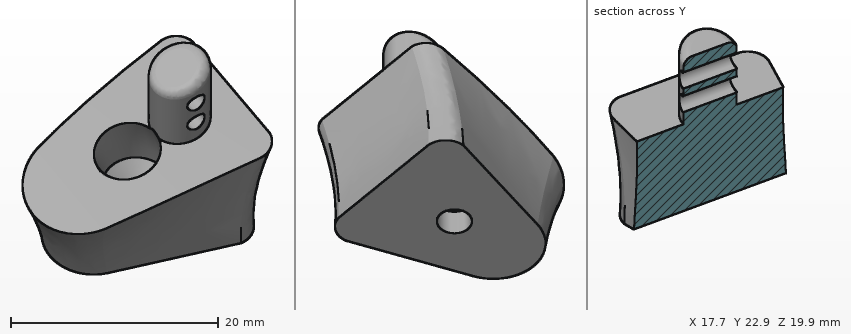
import cadquery as cq
import math

FOOT = dict(back=9.35, front=-9.5, back_z=0, front_z=0, flat=6.75,
            shoulder=(8.85, 6.74), nose=(4.8, -6.03), bulge=0)
WAIST = dict(back=9.76, front=-10.35, back_z=5.95, front_z=4.25, flat=6.75,
             shoulder=(8.65, 7.3), nose=(5.02, -6.65), bulge=0.07)
CROWN = dict(back=11.78, front=-11.7, back_z=12.33, front_z=8.45, flat=6.75,
             shoulder=(8.66, 9.28), nose=(6.05, -7.1), bulge=0.15)

TOP_BACK = (11.45, 11.65)
TOP_MIDDLE = (0.14, 10.25)
TOP_FRONT = (-11.45, 7.77)

PIN_DIAMETER = 6.0
PIN_Y = 5.52
PIN_ROOT_Z = 8.7
PIN_TOP_Z = 19.23
PIN_TOP_TILT = 21.5
PIN_FILLET = 1.0
CROSS_HOLE_DIAMETER = 2.0
CROSS_HOLE_HEIGHTS = (13.55, 16.53)

SCREW_DIAMETER = 3.4
SCREW_Y = 0.45
CHANNEL_DIAMETER = 6.46
CHANNEL_START_Z = 4.35
CHANNEL_BEND_RADIUS = 17.2
CHANNEL_BEND_ANGLE = 50

OVERSIZE = 45.85


def section_wire(back, front, back_z, front_z, flat, shoulder, nose, bulge):
    """Closed, mirror-symmetric outline lying in a plane tilted about X."""
    slope = (back_z - front_z) / (back - front)

    def point(x, y):
        return cq.Vector(x, y, front_z + slope * (y - front))

    def arc(start, middle, end):
        return cq.Edge.makeThreePointArc(point(*start), point(*middle), point(*end))

    def mirrored(position):
        return (-position[0], position[1])

    def side(start, end, direction):
        if bulge == 0:
            return cq.Edge.makeLine(point(*start), point(*end))
        middle = ((start[0] + end[0]) / 2 + direction * bulge, (start[1] + end[1]) / 2)
        return arc(start, middle, end)

    back_end = (flat, back)
    diagonal = math.sqrt(0.5)
    corner = (flat + (shoulder[0] - flat) * diagonal,
              shoulder[1] + (back - shoulder[1]) * diagonal)
    edges = [
        cq.Edge.makeLine(point(*mirrored(back_end)), point(*back_end)),
        arc(back_end, corner, shoulder),
        side(shoulder, nose, 1),
        arc(nose, (0, front), mirrored(nose)),
        side(mirrored(nose), mirrored(shoulder), -1),
        arc(mirrored(shoulder), mirrored(corner), mirrored(back_end)),
    ]
    return cq.Wire.assembleEdges(edges)


def make_body():
    """Flared block under the curved, forward-sloping top."""
    wires = [section_wire(**section) for section in (FOOT, WAIST, CROWN)]
    block = cq.Workplane(obj=cq.Solid.makeLoft(wires))
    end_slope = (TOP_BACK[1] - TOP_FRONT[1]) / (TOP_BACK[0] - TOP_FRONT[0])
    run_out = 1.15
    above_top = (
        cq.Workplane("YZ")
        .moveTo(TOP_BACK[0] + run_out, TOP_BACK[1] + end_slope * run_out)
        .lineTo(*TOP_BACK)
        .threePointArc(TOP_MIDDLE, TOP_FRONT)
        .lineTo(TOP_FRONT[0] - run_out, TOP_FRONT[1] - end_slope * run_out)
        .lineTo(TOP_FRONT[0] - run_out, OVERSIZE)
        .lineTo(TOP_BACK[0] + run_out, OVERSIZE)
        .close()
        .extrude(OVERSIZE / 2, both=True)
    )
    return block.cut(above_top)


def make_pin():
    """Upright pin with a slanted, rounded end and two cross holes."""
    pin = (
        cq.Workplane("XY", origin=(0, PIN_Y, PIN_ROOT_Z))
        .circle(PIN_DIAMETER / 2)
        .extrude(OVERSIZE)
    )
    above_end = (
        cq.Workplane("XY")
        .box(OVERSIZE, OVERSIZE, 2 * OVERSIZE, centered=(True, True, False))
        .rotate((0, 0, 0), (1, 0, 0), PIN_TOP_TILT)
        .translate((0, PIN_Y, PIN_TOP_Z))
    )
    pin = pin.cut(above_end).faces(">Z").edges().fillet(PIN_FILLET)
    cross_holes = (
        cq.Workplane("YZ")
        .pushPoints([(PIN_Y, height) for height in CROSS_HOLE_HEIGHTS])
        .circle(CROSS_HOLE_DIAMETER / 2)
        .extrude(PIN_DIAMETER, both=True)
    )
    return pin.cut(cross_holes)


def make_screw_cutter():
    """Through hole, 90 degree conical seat and channel bending towards the nose."""
    screw_radius = SCREW_DIAMETER / 2
    channel_radius = CHANNEL_DIAMETER / 2
    seat_bottom_z = CHANNEL_START_Z - (channel_radius - screw_radius)
    hole_and_seat = (
        cq.Workplane("XZ", origin=(0, SCREW_Y, 0))
        .polyline([
            (0, 0),
            (screw_radius, 0),
            (screw_radius, seat_bottom_z),
            (channel_radius, CHANNEL_START_Z),
            (0, CHANNEL_START_Z),
        ])
        .close()
        .revolve(360, (0, 0), (0, 1))
    )
    channel = (
        cq.Workplane("XY", origin=(0, SCREW_Y, CHANNEL_START_Z))
        .circle(channel_radius)
        .revolve(CHANNEL_BEND_ANGLE, (0, -CHANNEL_BEND_RADIUS), (1, -CHANNEL_BEND_RADIUS))
    )
    return hole_and_seat.union(channel)


result = make_body().union(make_pin()).cut(make_screw_cutter())